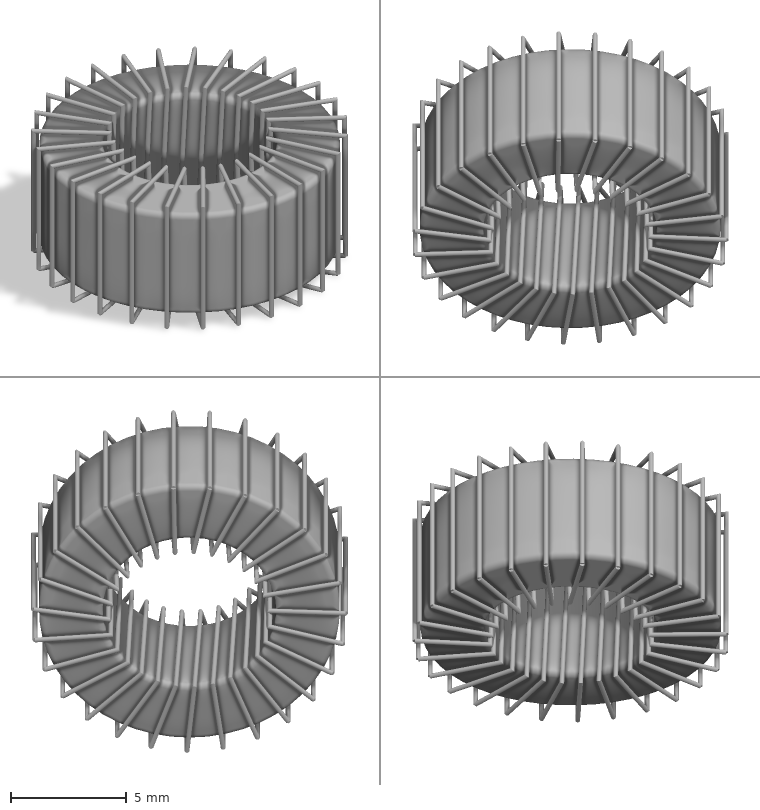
import cadquery as cq
import math


overall_width = 13.68
overall_height = 6.2

core_outer_diameter = 13.0
core_inner_diameter = 7.5
core_height = 5.0
core_fillet = 0.25

wire_diameter = 0.2
winding_count = 3
turns_per_winding = 9
turn_pitch = 360.0 / (winding_count * turns_per_winding)
winding_pitch = 360.0 / winding_count
slope_angle = turn_pitch / 3

legs_per_quarter = round(90.0 / turn_pitch)
widest_leg_angle = math.radians(legs_per_quarter * turn_pitch)
outer_leg_radius = (overall_width - wire_diameter) / 2 / math.sin(widest_leg_angle)
core_clearance = outer_leg_radius - core_outer_diameter / 2
inner_leg_radius = core_inner_diameter / 2 - core_clearance
bar_height = (overall_height - wire_diameter) / 2


def ring_point(radius, angle, z):
    """Point at a given distance from the Z axis, angle in degrees and height."""
    radians = math.radians(angle)
    return cq.Vector(radius * math.cos(radians), radius * math.sin(radians), z)


def make_core():
    """Ring with all four circular edges rounded."""
    return (
        cq.Workplane("XY", origin=(0, 0, -core_height / 2))
        .circle(core_outer_diameter / 2)
        .circle(core_inner_diameter / 2)
        .extrude(core_height)
        .edges("%CIRCLE")
        .fillet(core_fillet)
    )


def make_turn():
    """One turn: up outside the core, in over it, down the bore and out under it to the next turn."""
    path = cq.Workplane("XY").polyline([
        ring_point(outer_leg_radius, 0, -bar_height),
        ring_point(outer_leg_radius, 0, bar_height),
        ring_point(inner_leg_radius, slope_angle, bar_height),
        ring_point(inner_leg_radius, 2 * slope_angle, -bar_height),
        ring_point(outer_leg_radius, turn_pitch, -bar_height),
    ])
    start = cq.Workplane("XY", origin=(outer_leg_radius, 0, -bar_height))
    return start.circle(wire_diameter / 2).sweep(path, transition="right")


def make_outer_leg(angle):
    """The straight vertical stretch of wire outside the core."""
    start = cq.Workplane("XY", origin=ring_point(outer_leg_radius, angle, -bar_height).toTuple())
    return start.circle(wire_diameter / 2).extrude(2 * bar_height)


def make_winding():
    """Consecutive turns joined into one wire, ending against the first leg of the next winding."""
    turn = make_turn()
    winding = turn
    for index in range(1, turns_per_winding):
        winding = winding.union(turn.rotate((0, 0, 0), (0, 0, 1), index * turn_pitch))
    return winding.cut(make_outer_leg(winding_pitch))


core = make_core()

first_winding = make_winding()
windings = [
    first_winding.rotate((0, 0, 0), (0, 0, 1), index * winding_pitch)
    for index in range(winding_count)
]

result = cq.Compound.makeCompound([core.val(), *[winding.val() for winding in windings]])